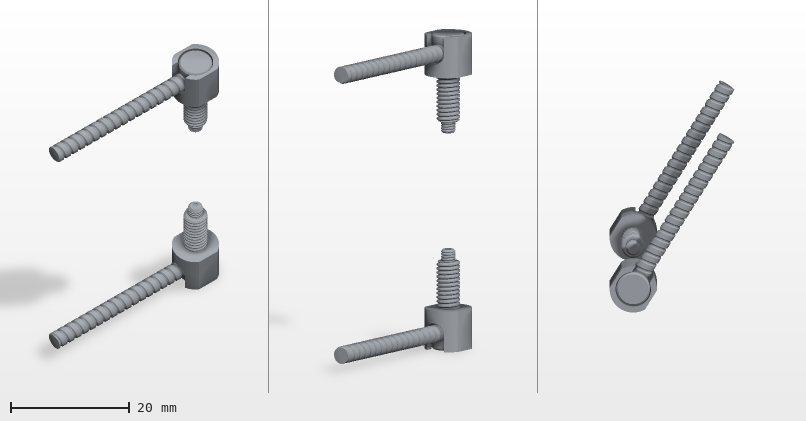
import cadquery as cq
import math

overall_height = 54.0
top_z = overall_height / 2

head_radius = 4.0
head_height = 7.0
head_width = 7.0

bore_diameter = 6.0
drum_diameter = 5.65
drum_chamfer = 0.25

arm_diameter = 2.95
arm_reach = 29.95
arm_depth = 3.0
slot_width = 3.55

shank_diameter = 4.0
shank_length = 8.0
shank_chamfer = 0.25
tip_diameter = 2.5
tip_length = 2.0
tip_chamfer = 0.3
recess_diameter = 1.1
recess_depth = 0.1

arm_groove = {"pitch": 1.5, "depth": 0.2, "mouth": 0.6, "root": 0.2}
shank_groove = {"pitch": 0.7, "depth": 0.4, "mouth": 0.5, "root": 0.025}
tip_groove = {"pitch": 0.45, "depth": 0.2, "mouth": 0.25, "root": 0.025}
mouth_overlap = 0.05
overrun_turns = 1
arm_groove_angle = 75.0
shank_groove_angle = 180.0
tip_groove_angle = 180.0

head_bottom = top_z - head_height
shank_bottom = head_bottom - shank_length
tip_bottom = shank_bottom - tip_length
arm_z = top_z - arm_depth
slot_bottom = arm_z - slot_width / 2


def helical_groove(radius, turns, pitch, depth, mouth, root):
    """Cutter for a right-handed trapezoidal groove, wound up a rod along Z from z = 0."""
    flank_slope = (mouth - root) / 2 / depth
    outer_half = mouth / 2 + flank_slope * mouth_overlap
    root_half = root / 2
    outer_x = radius + mouth_overlap
    root_x = radius - depth
    profile = cq.Workplane("XZ").polyline(
        [(outer_x, -outer_half), (root_x, -root_half), (root_x, root_half), (outer_x, outer_half)]
    ).close()
    path = cq.Wire.makeHelix(pitch, turns * pitch, radius)
    return profile.sweep(path, isFrenet=True)


def grooved_rod(diameter, length, groove, groove_angle, end_chamfer=0.0):
    """Rod from the origin up Z with a helical groove and an optional chamfer at the lower end."""
    radius = diameter / 2
    pitch = groove["pitch"]
    turns = math.ceil(length / pitch) + 2 * overrun_turns
    cutter = helical_groove(radius, turns, **groove)
    cutter = cutter.rotate((0, 0, 0), (0, 0, 1), groove_angle).translate((0, 0, -overrun_turns * pitch))
    blank_start = -2 * overrun_turns * pitch
    blank_length = (turns + 2 * overrun_turns) * pitch
    blank = cq.Workplane("XY").workplane(offset=blank_start).circle(radius).extrude(blank_length)
    trim = cq.Workplane("XY").circle(diameter).extrude(length)
    if end_chamfer:
        trim = trim.faces("<Z").chamfer(end_chamfer + diameter - radius)
    return blank.cut(cutter).intersect(trim)


def make_drum():
    """Chamfered boss in the middle of the ring groove, level with the top of the head."""
    drum = cq.Workplane("XY").workplane(offset=slot_bottom).circle(drum_diameter / 2)
    return drum.extrude(top_z - slot_bottom).faces(">Z").chamfer(drum_chamfer)


def make_arm_slot():
    """Round-bottomed cutter through the -Y wall of the head, open at the top."""
    round_end = cq.Workplane("XZ").center(0, arm_z).circle(slot_width / 2).extrude(head_radius)
    open_end = cq.Workplane("XZ").center(0, arm_z + arm_depth / 2).rect(slot_width, arm_depth)
    return round_end.union(open_end.extrude(head_radius))


def make_head():
    """Flatted head with the ring groove around its drum and the slot for the arm."""
    block = cq.Workplane("XY").workplane(offset=head_bottom).circle(head_radius).extrude(head_height)
    block = block.intersect(cq.Workplane("XY").box(head_width, 2 * head_radius, overall_height))
    bore = cq.Workplane("XY").workplane(offset=slot_bottom).circle(bore_diameter / 2)
    bore = bore.extrude(top_z - slot_bottom)
    return block.cut(bore).cut(make_arm_slot()).union(make_drum())


def make_arm():
    """Ribbed arm along -Y, starting on the axis of the drum."""
    arm = grooved_rod(arm_diameter, arm_reach, arm_groove, arm_groove_angle)
    return arm.rotate((0, 0, 0), (1, 0, 0), -90).translate((0, -arm_reach, arm_z))


def make_shank():
    """Threaded shank under the head, with the thinner tip at its lower end."""
    shank = grooved_rod(shank_diameter, shank_length, shank_groove, shank_groove_angle, shank_chamfer)
    tip = grooved_rod(tip_diameter, tip_length, tip_groove, tip_groove_angle, tip_chamfer)
    tip = tip.cut(cq.Workplane("XY").circle(recess_diameter / 2).extrude(recess_depth))
    return shank.translate((0, 0, shank_bottom)).union(tip.translate((0, 0, tip_bottom)))


def make_fitting():
    """The upper fitting as one solid."""
    return make_head().union(make_arm()).union(make_shank())


upper_fitting = make_fitting()
fittings = [upper_fitting.rotate((0, 0, 0), (0, 1, 0), angle) for angle in (0, 180)]

result = cq.Compound.makeCompound([fitting.val() for fitting in fittings])